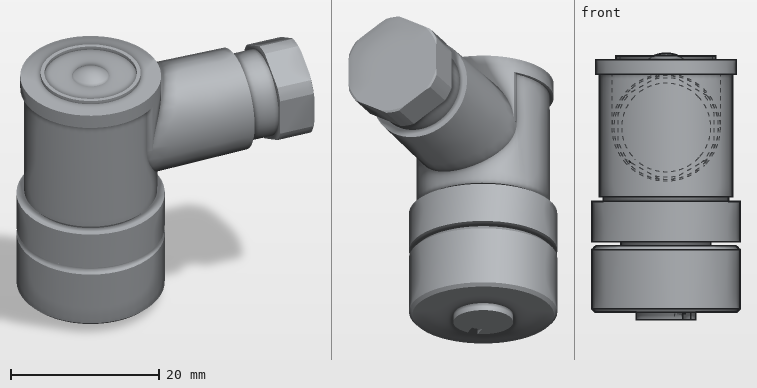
import cadquery as cq
import math

OVERALL_LENGTH = 40.0
OVERALL_WIDTH = 20.05

PLUG_RADIUS = 4.05
PLUG_HEIGHT = 1.05
KEYWAY_WIDTH = 1.45
KEYWAY_ANGLE = -45
KEYWAY_FLOOR_RADIUS = 2.4
KEYWAY_STEP_RADIUS = 3.1
KEYWAY_STEP_HEIGHT = 0.8

NUT_RADIUS = OVERALL_WIDTH / 2
NUT_TOP = 10.0
NUT_TOP_CHAMFER = 0.55
NUT_BOTTOM_CHAMFER = 0.45

NECK_RADIUS = 6.1
RING_BOTTOM = 10.53
RING_TOP = 16.0

GROOVE_RADIUS = 8.5
BODY_RADIUS = 9.0
BODY_BOTTOM = 16.6
CAP_RADIUS = 9.52
CAP_BOTTOM = 33.15
CAP_TOP = 35.15

RIM_RADIUS = 6.75
RIM_BORE_RADIUS = 6.25
RIM_HEIGHT = 0.52
DOME_RADIUS = 2.52
DOME_HEIGHT = 0.9

ARM_AXIS_Z = 26.0
ARM_ROOT_RADIUS = 7.4
ARM_END_RADIUS = 7.05
ARM_END_Y = 21.05
GLAND_NECK_RADIUS = 6.0
GLAND_NUT_START_Y = 24.97
GLAND_NUT_END_Y = OVERALL_LENGTH - NUT_RADIUS
GLAND_NUT_FLATS = 12.95
HEX_SIDES = 6
GLAND_NUT_CORNER_RADIUS = 7.0
GLAND_NUT_CHAMFER_LENGTH = 0.12
GLAND_NUT_CHAMFER_RADIAL = 0.3
SHOULDER_HALF_WIDTH = 7.32


def upright_cylinder(radius, bottom, top):
    return cq.Workplane("XY").workplane(offset=bottom).circle(radius).extrude(top - bottom)


def along_arm(start_y):
    """Workplane across the arm axis at start_y, with its normal along +Y."""
    return cq.Workplane(cq.Plane((0, start_y, ARM_AXIS_Z), xDir=(1, 0, 0), normal=(0, 1, 0)))


def make_plug():
    """Solid plug with a keyway that gets shallower at a step just below the nut."""
    keyway = (
        cq.Workplane("XY")
        .box(PLUG_RADIUS, KEYWAY_WIDTH, PLUG_HEIGHT, centered=(False, True, False))
        .rotate((0, 0, 0), (0, 0, 1), KEYWAY_ANGLE)
        .cut(upright_cylinder(KEYWAY_FLOOR_RADIUS, 0, KEYWAY_STEP_HEIGHT))
        .cut(upright_cylinder(KEYWAY_STEP_RADIUS, KEYWAY_STEP_HEIGHT, PLUG_HEIGHT))
    )
    return upright_cylinder(PLUG_RADIUS, 0, PLUG_HEIGHT).cut(keyway)


def make_coupling_nut():
    nut = upright_cylinder(NUT_RADIUS, PLUG_HEIGHT, NUT_TOP)
    return nut.faces(">Z").chamfer(NUT_TOP_CHAMFER).faces("<Z").chamfer(NUT_BOTTOM_CHAMFER)


def make_housing():
    housing = upright_cylinder(NECK_RADIUS, NUT_TOP, RING_BOTTOM)
    for radius, bottom, top in (
        (NUT_RADIUS, RING_BOTTOM, RING_TOP),
        (GROOVE_RADIUS, RING_TOP, BODY_BOTTOM),
        (BODY_RADIUS, BODY_BOTTOM, CAP_BOTTOM),
        (CAP_RADIUS, CAP_BOTTOM, CAP_TOP),
    ):
        housing = housing.union(upright_cylinder(radius, bottom, top))
    return housing


def make_rim():
    """Thin raised ring on top of the cap."""
    rim_top = CAP_TOP + RIM_HEIGHT
    rim = upright_cylinder(RIM_RADIUS, CAP_TOP, rim_top)
    return rim.cut(upright_cylinder(RIM_BORE_RADIUS, CAP_TOP, rim_top))


def make_dome():
    """Shallow spherical button inside the rim."""
    sphere_radius = (DOME_RADIUS**2 + DOME_HEIGHT**2) / (2 * DOME_HEIGHT)
    sphere = cq.Workplane("XY").sphere(sphere_radius)
    sphere = sphere.translate((0, 0, CAP_TOP + DOME_HEIGHT - sphere_radius))
    return sphere.intersect(upright_cylinder(DOME_RADIUS, CAP_TOP, CAP_TOP + DOME_HEIGHT))


def make_shoulder():
    """Flat-sided thickening of the body wall above the arm axis, flush with the cap."""
    block = cq.Workplane("XY").box(
        2 * SHOULDER_HALF_WIDTH, CAP_RADIUS, CAP_BOTTOM - ARM_AXIS_Z, centered=(True, False, False)
    )
    disc = upright_cylinder(CAP_RADIUS, ARM_AXIS_Z, CAP_BOTTOM)
    return block.translate((0, 0, ARM_AXIS_Z)).intersect(disc)


def make_arm():
    """Tapered arm running from the upright axis, so that its root merges into the body."""
    return along_arm(0).circle(ARM_ROOT_RADIUS).workplane(offset=ARM_END_Y).circle(ARM_END_RADIUS).loft()


def make_gland():
    """Round neck and hexagonal nut with rounded corners; two flats face -X and +X."""
    neck = along_arm(ARM_END_Y).circle(GLAND_NECK_RADIUS).extrude(GLAND_NUT_START_Y - ARM_END_Y)
    nut_length = GLAND_NUT_END_Y - GLAND_NUT_START_Y
    across_corners = GLAND_NUT_FLATS / math.cos(math.pi / HEX_SIDES)
    hexagon = (
        along_arm(GLAND_NUT_START_Y)
        .transformed(rotate=(0, 0, 90))
        .polygon(HEX_SIDES, across_corners)
        .extrude(nut_length)
    )
    envelope = (
        along_arm(GLAND_NUT_START_Y)
        .circle(GLAND_NUT_CORNER_RADIUS)
        .extrude(nut_length)
        .faces(">Y")
        .chamfer(GLAND_NUT_CHAMFER_LENGTH, GLAND_NUT_CHAMFER_RADIAL)
    )
    return neck.union(hexagon.intersect(envelope))


result = make_housing()
for feature in (
    make_plug(),
    make_coupling_nut(),
    make_rim(),
    make_dome(),
    make_shoulder(),
    make_arm(),
    make_gland(),
):
    result = result.union(feature)